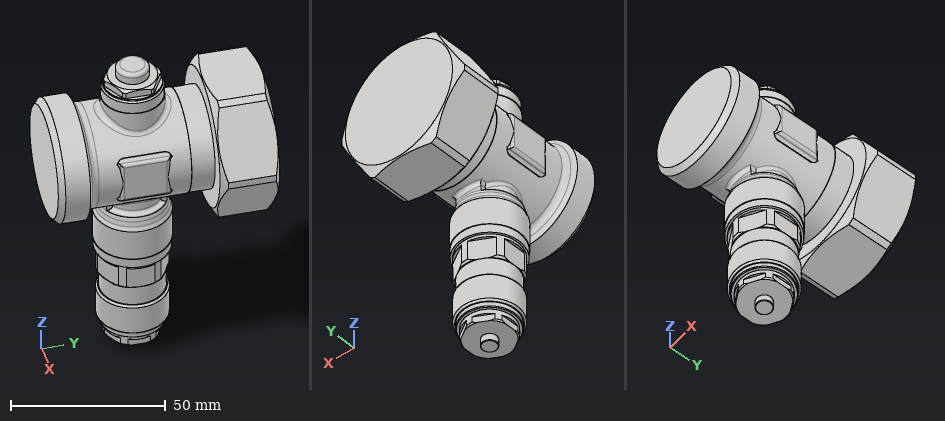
import cadquery as cq
import math


nut_end_y = 43.2
nut_length = 20.0
nut_across_flats = 48.0
nut_corner_radius = 27.0
nut_face_radius = 23.54
nut_chamfer_length = 2.0
neck_radius = 17.3
body_start_y = 15.4
body_radius = 17.5
flare_start_y = -15.5
flare_arc_radius = 3.0
flare_angle = math.radians(60)
rim_radius = 20.9
rim_end_y = -29.5
rim_chamfer = 2.0

boss_radius = 10.5
boss_root_fillet = 2.1
boss_top_z = 22.4
collar_radius = 10.3
collar_top_z = 27.1
collar_chamfer = 0.6
washer_radius = 9.8
plug_hex_bottom_z = 27.7
plug_hex_top_z = 30.5
plug_hex_across_flats = 17.0
plug_hex_corner_radius = 9.5
plug_hex_chamfer_height = 0.75
plug_hex_face_radius = 8.2
cap_radius = 5.5
cap_top_z = 34.55
cap_fillet = 1.4

core_radius = 9.7
core_foot_fillet = 1.5
shelf_radius = 11.5
shelf_z = -19.9
rib_width = 11.0
probe_root_fillet = 1.5
shoulder_mid_radius = 11.9
shoulder_mid_z = -21.4
shoulder_radius = 12.3
shoulder_z = -23.2
sleeve_radius = 13.0
sleeve_top_z = -24.7
sleeve_bottom_z = -36.1
ring_radius = 12.8
ring_bottom_z = -39.6
probe_hex_top_z = -40.8
probe_hex_bottom_z = -49.2
probe_hex_across_flats = 22.0
probe_hex_corner_radius = 12.0
probe_hex_chamfer = 0.7
stem_radius = 11.0
cap_nut_top_z = -56.4
cap_nut_bottom_z = -68.1
cap_nut_radius = 12.0
cap_nut_chamfer = 0.7
tail_radius = 11.0
tail_bottom_z = -70.2
tail_chamfer = 0.3
end_disc_radius = 9.75
end_flats_top_z = -72.0
end_disc_bottom_z = -74.7
end_disc_chamfer = 0.5
end_flats_across = 18.0
pin_radius = 3.0
pin_bottom_z = -77.6
pin_chamfer = 0.2

pad_face_x = 17.55
pad_face_width = 14.3
pad_face_height = 13.0
pad_border = 2.25
pad_long_edge_drop = 2.2
pad_short_edge_drop = 1.5
pad_corner_radius = 2.8
pad_root_x = 12.0


def solid_of_revolution_z(points):
    """Revolve an outline of (radius, z) points about the Z axis."""
    return cq.Workplane("XZ").polyline(points).close().revolve(360, (0, 0, 0), (0, 1, 0))


def hexagon(plane, across_flats):
    return cq.Workplane(plane).polygon(6, across_flats / math.cos(math.pi / 6))


def hex_prism_z(across_flats, bottom_z, top_z):
    """Hexagonal prism along Z with two flats facing +X and -X."""
    prism = hexagon("XY", across_flats).extrude(top_z - bottom_z)
    return prism.rotate((0, 0, 0), (0, 0, 1), 30).translate((0, 0, bottom_z))


def make_run():
    """Neck, cylindrical body, flare and chamfered rim, closed at both ends."""
    flare_tangent_y = flare_start_y - flare_arc_radius * math.sin(flare_angle)
    flare_tangent_radius = body_radius + flare_arc_radius * (1 - math.cos(flare_angle))
    half_angle = flare_angle / 2
    flare_middle = (
        body_radius + flare_arc_radius * (1 - math.cos(half_angle)),
        flare_start_y - flare_arc_radius * math.sin(half_angle),
    )
    rim_start_y = flare_tangent_y - (rim_radius - flare_tangent_radius) / math.tan(flare_angle)
    outline = (
        cq.Workplane("XY")
        .moveTo(0, nut_end_y - nut_length)
        .lineTo(neck_radius, nut_end_y - nut_length)
        .lineTo(neck_radius, body_start_y)
        .lineTo(body_radius, body_start_y)
        .lineTo(body_radius, flare_start_y)
        .threePointArc(flare_middle, (flare_tangent_radius, flare_tangent_y))
        .lineTo(rim_radius, rim_start_y)
        .lineTo(rim_radius, rim_end_y + rim_chamfer)
        .lineTo(rim_radius - rim_chamfer, rim_end_y)
        .lineTo(0, rim_end_y)
        .close()
    )
    return outline.revolve(360, (0, 0, 0), (0, 1, 0))


def make_nut():
    """Union nut: hexagon trimmed by a cylinder with a cone at each end."""
    nut_start_y = nut_end_y - nut_length
    prism = hexagon("XZ", nut_across_flats).extrude(-nut_length).translate((0, nut_start_y, 0))
    envelope = (
        cq.Workplane("XY")
        .moveTo(0, nut_start_y)
        .lineTo(nut_face_radius, nut_start_y)
        .lineTo(nut_corner_radius, nut_start_y + nut_chamfer_length)
        .lineTo(nut_corner_radius, nut_end_y - nut_chamfer_length)
        .lineTo(nut_face_radius, nut_end_y)
        .lineTo(0, nut_end_y)
        .close()
        .revolve(360, (0, 0, 0), (0, 1, 0))
    )
    return prism.intersect(envelope)


def make_boss():
    """Root of the plug branch, reaching down to the run axis."""
    return cq.Workplane("XY").circle(boss_radius).extrude(boss_top_z)


def make_probe_root():
    """Core with a concave foot, stiffened by a rib along Y."""
    fillet_top_z = shelf_z + core_foot_fillet
    diagonal = core_foot_fillet * math.sqrt(0.5)
    arc_middle = (
        core_radius + core_foot_fillet - diagonal,
        fillet_top_z - diagonal,
    )
    core = (
        cq.Workplane("XZ")
        .moveTo(0, 0)
        .lineTo(core_radius, 0)
        .lineTo(core_radius, fillet_top_z)
        .threePointArc(arc_middle, (core_radius + core_foot_fillet, shelf_z))
        .lineTo(0, shelf_z)
        .close()
        .revolve(360, (0, 0, 0), (0, 1, 0))
    )
    rib = (
        cq.Workplane("XY")
        .rect(rib_width, 3 * shelf_radius)
        .extrude(shelf_z)
        .intersect(cq.Workplane("XY").circle(shelf_radius).extrude(shelf_z))
    )
    return core.union(rib)


def fillet_branch_roots(body):
    """Blend both branches into the run along their intersection curves."""
    margin = 0.1
    reach = shelf_radius + margin
    height = body_radius + margin
    boss_zone = cq.selectors.BoxSelector(
        (-reach, -reach, 0), (reach, reach, height), boundingbox=True
    )
    probe_zone = cq.selectors.BoxSelector(
        (-reach, -reach, -height), (reach, reach, 0), boundingbox=True
    )
    body = body.edges(boss_zone).fillet(boss_root_fillet)
    return body.edges(probe_zone).fillet(probe_root_fillet)


def make_plug():
    """Collar, washer, hexagon head and round cap on top of the boss."""
    collar = (
        cq.Workplane("XY", origin=(0, 0, boss_top_z))
        .circle(collar_radius)
        .extrude(collar_top_z - boss_top_z)
        .faces(">Z")
        .chamfer(collar_chamfer)
    )
    washer = (
        cq.Workplane("XY", origin=(0, 0, collar_top_z))
        .circle(washer_radius)
        .extrude(plug_hex_bottom_z - collar_top_z)
    )
    head_limit = solid_of_revolution_z([
        (0, plug_hex_bottom_z),
        (plug_hex_corner_radius, plug_hex_bottom_z),
        (plug_hex_corner_radius, plug_hex_top_z - plug_hex_chamfer_height),
        (plug_hex_face_radius, plug_hex_top_z),
        (0, plug_hex_top_z),
    ])
    head = hex_prism_z(plug_hex_across_flats, plug_hex_bottom_z, plug_hex_top_z).intersect(head_limit)
    cap = (
        cq.Workplane("XY", origin=(0, 0, plug_hex_top_z))
        .circle(cap_radius)
        .extrude(cap_top_z - plug_hex_top_z)
        .faces(">Z")
        .edges()
        .fillet(cap_fillet)
    )
    return collar.union(washer).union(head).union(cap)


def make_sleeve():
    """Stepped shoulder, sleeve and ring below the shelf of the probe root."""
    return solid_of_revolution_z([
        (0, shelf_z),
        (shelf_radius, shelf_z),
        (shoulder_mid_radius, shoulder_mid_z),
        (shoulder_radius, shoulder_z),
        (sleeve_radius, sleeve_top_z),
        (sleeve_radius, sleeve_bottom_z),
        (ring_radius, sleeve_bottom_z),
        (ring_radius, ring_bottom_z),
        (probe_hex_corner_radius, ring_bottom_z),
        (probe_hex_corner_radius, probe_hex_top_z),
        (0, probe_hex_top_z),
    ])


def make_probe_hex():
    """Hexagon trimmed by a cylinder that is chamfered at its lower end."""
    limit = (
        cq.Workplane("XY", origin=(0, 0, probe_hex_bottom_z))
        .circle(probe_hex_corner_radius)
        .extrude(probe_hex_top_z - probe_hex_bottom_z)
        .faces("<Z")
        .chamfer(probe_hex_chamfer)
    )
    return hex_prism_z(probe_hex_across_flats, probe_hex_bottom_z, probe_hex_top_z).intersect(limit)


def make_probe_tail():
    """Stem, cap nut, flatted end disc and pin."""
    stem_and_nut = solid_of_revolution_z([
        (0, probe_hex_bottom_z),
        (stem_radius, probe_hex_bottom_z),
        (stem_radius, cap_nut_top_z),
        (cap_nut_radius - cap_nut_chamfer, cap_nut_top_z),
        (cap_nut_radius, cap_nut_top_z - cap_nut_chamfer),
        (cap_nut_radius, cap_nut_bottom_z + cap_nut_chamfer),
        (cap_nut_radius - cap_nut_chamfer, cap_nut_bottom_z),
        (tail_radius, cap_nut_bottom_z),
        (tail_radius, tail_bottom_z + tail_chamfer),
        (tail_radius - tail_chamfer, tail_bottom_z),
        (0, tail_bottom_z),
    ])
    disc = (
        cq.Workplane("XY", origin=(0, 0, end_disc_bottom_z))
        .circle(end_disc_radius)
        .extrude(tail_bottom_z - end_disc_bottom_z)
        .faces("<Z")
        .chamfer(end_disc_chamfer)
    )
    flats_cut = (
        cq.Workplane("XY", origin=(0, 0, end_disc_bottom_z))
        .circle(2 * end_disc_radius)
        .extrude(end_flats_top_z - end_disc_bottom_z)
        .cut(hex_prism_z(end_flats_across, end_disc_bottom_z, end_flats_top_z))
    )
    pin = (
        cq.Workplane("XY", origin=(0, 0, pin_bottom_z))
        .circle(pin_radius)
        .extrude(end_disc_bottom_z - pin_bottom_z)
        .faces("<Z")
        .chamfer(pin_chamfer)
    )
    return stem_and_nut.union(disc.cut(flats_cut)).union(pin)


def pad_ridge(flat_size, border_drop, length):
    """Ridge along Y: a flat of the given width with an S-curved border on each side.

    Each border is two equal tangent arcs, level at both ends, falling by border_drop.
    """
    half_flat = flat_size / 2
    half_foot = half_flat + pad_border
    sweep = 2 * math.atan(border_drop / pad_border)
    arc_radius = pad_border / (2 * math.sin(sweep))
    bow_x = arc_radius * math.sin(sweep / 2)
    bow_z = arc_radius * (1 - math.cos(sweep / 2))
    foot_z = pad_face_x - border_drop
    crossing = (half_flat + pad_border / 2, pad_face_x - border_drop / 2)
    outline = (
        cq.Workplane("XZ")
        .moveTo(0, pad_root_x)
        .lineTo(0, pad_face_x)
        .lineTo(half_flat, pad_face_x)
        .threePointArc((half_flat + bow_x, pad_face_x - bow_z), crossing)
        .threePointArc((half_foot - bow_x, foot_z + bow_z), (half_foot, foot_z))
        .lineTo(half_foot, pad_root_x)
        .close()
    )
    half_ridge = outline.extrude(length / 2, both=True)
    return half_ridge.union(half_ridge.mirror("YZ"))


def make_pad():
    """Flat rectangular pad facing +Z with an S-curved border and rounded corners."""
    foot_width = pad_face_width + 2 * pad_border
    foot_height = pad_face_height + 2 * pad_border
    footprint = (
        cq.Workplane("XY", origin=(0, 0, pad_root_x))
        .rect(foot_width, foot_height)
        .extrude(pad_face_x - pad_root_x)
        .edges("|Z")
        .fillet(pad_corner_radius)
    )
    across_width = pad_ridge(pad_face_width, pad_short_edge_drop, foot_height)
    across_height = pad_ridge(pad_face_height, pad_long_edge_drop, foot_width)
    across_height = across_height.rotate((0, 0, 0), (0, 0, 1), 90)
    return footprint.intersect(across_width).intersect(across_height)


def make_flank_pads():
    """Pads on the +X and -X flanks, long side along Y."""
    pad = make_pad().rotate((0, 0, 0), (0, 0, 1), 90).rotate((0, 0, 0), (0, 1, 0), 90)
    return pad.union(pad.mirror("YZ"))


body = make_run().union(make_boss()).union(make_probe_root())
body = fillet_branch_roots(body)
body = body.union(make_flank_pads())
body = body.union(make_nut())
body = body.union(make_plug())
body = body.union(make_sleeve())
body = body.union(make_probe_hex())
result = body.union(make_probe_tail())